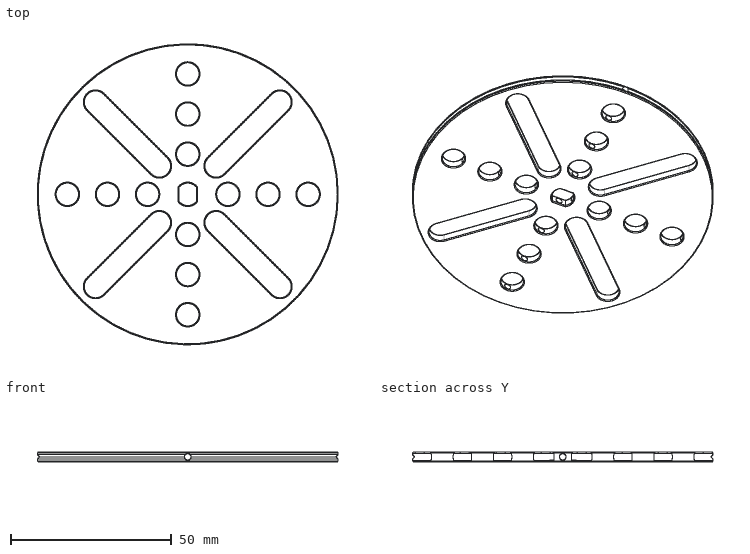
import cadquery as cq

pitch = 12.5
disc_diameter = 7.5 * pitch
thickness = pitch / 4
edge_chamfer = 0.3

groove_depth = 0.7
groove_width = 1.4

hole_diameter = 7.0
holes_per_arm = 3
shaft_hole_width = 5.5
slot_inner_reach = pitch
slot_outer_reach = 3.25 * pitch
arm_angles = [0, 90, 180, 270]
slot_angles = [45, 135, 225, 315]

bore_diameter = 2.0
bore_seam_angle = 45

disc_radius = disc_diameter / 2


def grooved_disc():
    """Disc centered on the origin, with a V-groove around its rim at mid thickness."""
    return (
        cq.Workplane("XZ")
        .moveTo(0, -thickness / 2)
        .lineTo(disc_radius, -thickness / 2)
        .lineTo(disc_radius, -groove_width / 2)
        .lineTo(disc_radius - groove_depth, 0)
        .lineTo(disc_radius, groove_width / 2)
        .lineTo(disc_radius, thickness / 2)
        .lineTo(0, thickness / 2)
        .close()
        .revolve(360, (0, 0), (0, 1))
    )


def through_cylinder(diameter):
    """Cylinder on the disc axis, as tall as the disc."""
    return cq.Workplane("XY").circle(diameter / 2).extrude(thickness / 2, both=True)


def hole_arm():
    """Row of round holes along +X."""
    centers = [(pitch * step, 0) for step in range(1, holes_per_arm + 1)]
    return (
        cq.Workplane("XY")
        .pushPoints(centers)
        .circle(hole_diameter / 2)
        .extrude(thickness / 2, both=True)
    )


def slot():
    """Round-ended slot along +X, as wide as the holes."""
    middle = (slot_inner_reach + slot_outer_reach) / 2
    length = slot_outer_reach - slot_inner_reach + hole_diameter
    return (
        cq.Workplane("XY")
        .center(middle, 0)
        .slot2D(length, hole_diameter)
        .extrude(thickness / 2, both=True)
    )


def shaft_hole():
    """Center hole with two flats facing +X and -X."""
    flats = cq.Workplane("XY").box(shaft_hole_width, hole_diameter, thickness)
    return through_cylinder(hole_diameter).intersect(flats)


def cross_bore(plane):
    """Bore through the whole disc, along the normal of the given plane."""
    return (
        cq.Workplane(plane)
        .transformed(rotate=(0, 0, bore_seam_angle))
        .circle(bore_diameter / 2)
        .extrude(disc_diameter, both=True)
    )


disc = grooved_disc().cut(shaft_hole())
for angle in arm_angles:
    disc = disc.cut(hole_arm().rotate((0, 0, 0), (0, 0, 1), angle))
for angle in slot_angles:
    disc = disc.cut(slot().rotate((0, 0, 0), (0, 0, 1), angle))

disc = disc.faces("<Z or >Z").edges().chamfer(edge_chamfer)

for plane in ("YZ", "XZ"):
    disc = disc.cut(cross_bore(plane))

result = disc